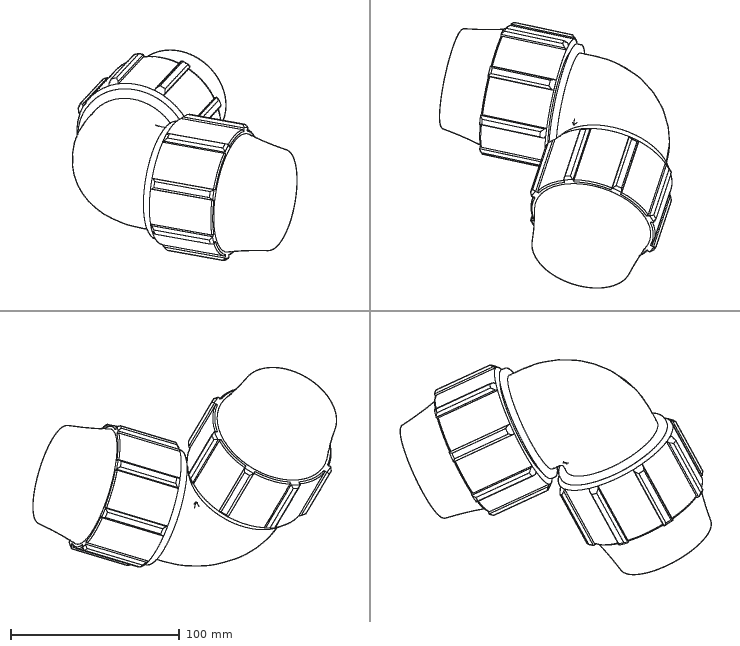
import cadquery as cq
import math

TUBE_RADIUS = 61.5 / 2
BEND_RADIUS = 26.3
CROTCH_FILLET = 2.0

COLLAR_RADIUS = 71.34 / 2
COLLAR_START = 35.7
COLLAR_END = 39.1
COLLAR_FILLET = 0.7

NUT_RADIUS = 38.2
NUT_START = 40.8
NUT_END = 81.1
NUT_CHAMFER = 0.9

NOSE_BASE_RADIUS = 35.7
NOSE_TIP_RADIUS = 30.4
NOSE_SAG = 0.5
NOSE_FILLET = 1.7

OVERALL_LENGTH = 146.58
OVERALL_HEIGHT = 77.16
ARM_LENGTH = OVERALL_LENGTH - OVERALL_HEIGHT / 2

RIB_COUNT = 8
RIB_PITCH = 360 / RIB_COUNT
RIB_TIP_WIDTH = 3.6
RIB_BASE_WIDTH = 6.4
RIB_SHOULDER_RADIUS = 39.2
RIB_RAMP_LENGTH = 3.0
RIB_END_CHAMFER = 1.6
RIB_EMBED = 1.5
HALF_PITCH = math.radians(RIB_PITCH / 2)
RIB_TIP_RADIUS = (
    OVERALL_HEIGHT / 2 - RIB_TIP_WIDTH / 2 * math.sin(HALF_PITCH)
) / math.cos(HALF_PITCH)


def cylinder_along_x(radius, start, end):
    return cq.Workplane("YZ", origin=(start, 0, 0)).circle(radius).extrude(end - start)


def onto_both_arms(shape):
    """Join a shape built on the X arm with its copy turned over onto the Y arm."""
    y_arm = shape.rotate((0, 0, 0), (1, 0, 0), 180).rotate((0, 0, 0), (0, 0, 1), 90)
    return shape.union(y_arm)


def make_bend():
    """Quarter turn of the tube; its circle is cut off flat at the bend axis."""
    half_chord = math.sqrt(TUBE_RADIUS**2 - BEND_RADIUS**2)
    return (
        cq.Workplane("YZ", origin=(BEND_RADIUS, 0, 0))
        .moveTo(BEND_RADIUS, half_chord)
        .threePointArc((-TUBE_RADIUS, 0), (BEND_RADIUS, -half_chord))
        .close()
        .revolve(90, (BEND_RADIUS, 1, 0), (BEND_RADIUS, -1, 0))
    )


def make_crotch():
    """Inner corner of the two tubes beyond the bend axis, with its crossing edge rounded."""
    block_size = 4 * NUT_START
    outer_block = (
        cq.Workplane("XY")
        .box(block_size, block_size, block_size, centered=(False, True, True))
        .rotate((0, 0, 0), (0, 0, 1), 45)
        .translate((BEND_RADIUS, BEND_RADIUS, 0))
    )
    tubes = onto_both_arms(cylinder_along_x(TUBE_RADIUS, 0, NUT_START))
    crossing_edge = cq.selectors.BoxSelector(
        (BEND_RADIUS, BEND_RADIUS, -TUBE_RADIUS / 2),
        (NUT_START, NUT_START, TUBE_RADIUS / 2),
    )
    return tubes.intersect(outer_block).edges(crossing_edge).fillet(CROTCH_FILLET)


def make_elbow():
    """Bend, both straight tubes and the rounded inner corner between them."""
    tubes = onto_both_arms(cylinder_along_x(TUBE_RADIUS, BEND_RADIUS, NUT_START))
    return tubes.union(make_bend()).union(make_crotch())


def make_collar():
    collar = cylinder_along_x(COLLAR_RADIUS, COLLAR_START, COLLAR_END)
    return collar.edges().fillet(COLLAR_FILLET)


def make_nut_body():
    nut = cylinder_along_x(NUT_RADIUS, NUT_START, NUT_END)
    return nut.faces(">X").edges().chamfer(NUT_CHAMFER)


def make_nose():
    """Slightly hollow taper with a rounded rim."""
    middle = ((NUT_END + ARM_LENGTH) / 2, (NOSE_BASE_RADIUS + NOSE_TIP_RADIUS) / 2 - NOSE_SAG)
    nose = (
        cq.Workplane("XY")
        .moveTo(NUT_END, 0)
        .lineTo(NUT_END, NOSE_BASE_RADIUS)
        .threePointArc(middle, (ARM_LENGTH, NOSE_TIP_RADIUS))
        .lineTo(ARM_LENGTH, 0)
        .close()
        .revolve(360, (0, 0, 0), (1, 0, 0))
    )
    return nose.faces(">X").edges().fillet(NOSE_FILLET)


def make_rib():
    """Rib with bevelled flanks on top of the nut, ramped at its start and chamfered at its end."""
    root_radius = NUT_RADIUS - RIB_EMBED
    tip_half = RIB_TIP_WIDTH / 2
    base_half = RIB_BASE_WIDTH / 2
    section = [
        (-base_half, root_radius),
        (-base_half, RIB_SHOULDER_RADIUS),
        (-tip_half, RIB_TIP_RADIUS),
        (tip_half, RIB_TIP_RADIUS),
        (base_half, RIB_SHOULDER_RADIUS),
        (base_half, root_radius),
    ]
    bar = (
        cq.Workplane("YZ", origin=(NUT_START, 0, 0))
        .polyline(section)
        .close()
        .extrude(NUT_END - NUT_START)
    )
    side_profile = [
        (NUT_START, root_radius),
        (NUT_START, NUT_RADIUS),
        (NUT_START + RIB_RAMP_LENGTH, RIB_TIP_RADIUS),
        (NUT_END - RIB_END_CHAMFER, RIB_TIP_RADIUS),
        (NUT_END, RIB_TIP_RADIUS - RIB_END_CHAMFER),
        (NUT_END, root_radius),
    ]
    envelope = cq.Workplane("XZ").polyline(side_profile).close().extrude(base_half, both=True)
    return bar.intersect(envelope)


def make_nut():
    nut = make_nut_body().union(make_nose())
    rib = make_rib()
    for index in range(RIB_COUNT):
        angle = (index + 0.5) * RIB_PITCH
        nut = nut.union(rib.rotate((0, 0, 0), (1, 0, 0), angle))
    return nut


neck = cylinder_along_x(TUBE_RADIUS, COLLAR_START, NUT_START)
arm_fittings = make_collar().union(neck).union(make_nut())
result = make_elbow().union(onto_both_arms(arm_fittings))